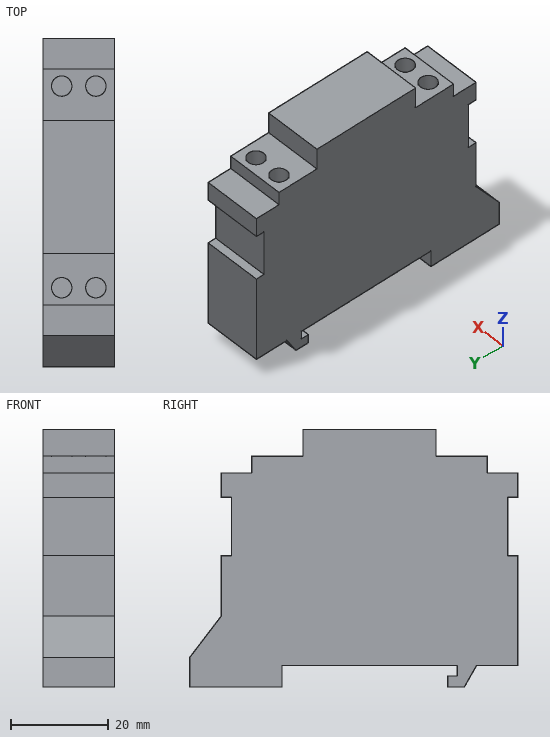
import cadquery as cq

width = 14.8
length = 67.5
height = 53.0

body_front = 6.5
body_bottom = 4.4
body_center = (body_front + length) / 2
groove_depth = 2.1
groove_bottom = 27.0
groove_top = 39.0

shoulder_z = 44.0
terminal_inset = 6.3
terminal_z = 47.45
crown_inset = 16.8

foot_back = 19.05
foot_tip_z = 6.1
foot_slope_top = 14.6

hook_root_back = 59.0
hook_root_front = 55.0
hook_toe_back = 56.5
hook_tip = 53.05
hook_lip_z = 2.3

hole_diameter = 4.2
hole_depth = 4.05
hole_spacing = 7.0
hole_inset = 9.8


def stepped_half(end, inward):
    """Outline of one body end, from the groove bottom up to the crown."""
    groove = end + inward * groove_depth
    terminal = end + inward * terminal_inset
    crown = end + inward * crown_inset
    return [
        (end, groove_bottom),
        (groove, groove_bottom),
        (groove, groove_top),
        (end, groove_top),
        (end, shoulder_z),
        (terminal, shoulder_z),
        (terminal, terminal_z),
        (crown, terminal_z),
        (crown, height),
    ]


foot = [
    (foot_back, body_bottom),
    (foot_back, 0),
    (0, 0),
    (0, foot_tip_z),
    (body_front, foot_slope_top),
]
hook = [
    (length, body_bottom),
    (hook_root_back, body_bottom),
    (hook_toe_back, 0),
    (hook_tip, 0),
    (hook_tip, hook_lip_z),
    (hook_root_front, hook_lip_z),
    (hook_root_front, body_bottom),
]
front_end = stepped_half(body_front, 1)
rear_end = stepped_half(length, -1)
profile = foot + front_end + rear_end[::-1] + hook

housing = cq.Workplane("YZ").polyline(profile).close().extrude(width / 2, both=True)

hole_row = (length - body_front) / 2 - hole_inset
hole_centers = [
    (side * hole_spacing / 2, body_center + end * hole_row)
    for side in (-1, 1)
    for end in (-1, 1)
]
holes = (
    cq.Workplane("XY", origin=(0, 0, terminal_z))
    .pushPoints(hole_centers)
    .circle(hole_diameter / 2)
    .extrude(-hole_depth)
)

result = housing.cut(holes)